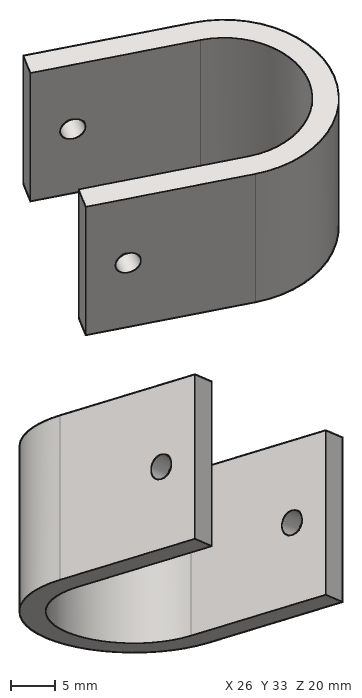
import cadquery as cq

inner_radius = 10.0
wall = 3.0
leg_length = 20.0
height = 20.0
hole_diameter = 3.0
hole_from_leg_end = 5.0

outer_radius = inner_radius + wall


def u_prism(radius):
    """Solid with a half-round end of the given radius, its axis on Z at the origin."""
    return (
        cq.Workplane("XY")
        .moveTo(-radius, -leg_length)
        .lineTo(-radius, 0)
        .threePointArc((0, radius), (radius, 0))
        .lineTo(radius, -leg_length)
        .close()
        .extrude(height)
    )


def cross_hole():
    """Pin running along X through both legs at mid height."""
    return (
        cq.Workplane("YZ", origin=(-outer_radius, 0, 0))
        .center(hole_from_leg_end - leg_length, height / 2)
        .circle(hole_diameter / 2)
        .extrude(2 * outer_radius)
    )


strap = u_prism(outer_radius).cut(u_prism(inner_radius))
result = strap.cut(cross_hole())